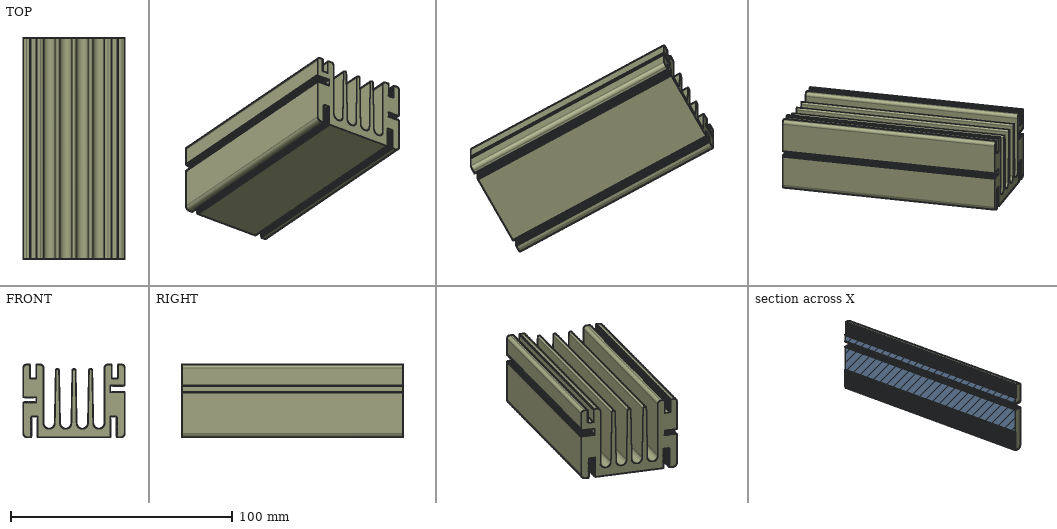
import cadquery as cq
import math

WIDTH = 46.0
LENGTH = 100.0
HEIGHT = 33.0
HALF_WIDTH = WIDTH / 2
TOP_CORNER_RADIUS = 1.5
BOTTOM_CORNER_RADIUS = 2.0

FIN_COUNT = 3
FIN_PITCH = 7.5
FIN_TOP = 31.0
FIN_TIP_WIDTH = 1.6
FIN_BASE_WIDTH = 2.5
FIN_TIP_RADIUS = FIN_TIP_WIDTH / 2
CHANNEL_FLOOR = 4.0
CHANNEL_RADIUS = (FIN_PITCH - FIN_BASE_WIDTH) / 2
CHANNEL_SPRING = CHANNEL_FLOOR + CHANNEL_RADIUS
CHANNEL_COUNT = FIN_COUNT + 1
CHANNEL_HALF_WIDTH = (CHANNEL_COUNT * FIN_PITCH - FIN_BASE_WIDTH) / 2

TOOTH_HEIGHT = 0.3
TOOTH_FLAT_SHARE = 0.25
FINE_PITCH = 0.82
COARSE_PITCH = 1.0
FLOOR_CHAMFER = 0.4
MOUTH_CHAMFER = 0.25

TOP_SLOT_CENTER = 18.55
TOP_SLOT_WIDTH = 2.9
TOP_SLOT_DEPTH = 6.3
TOP_FIRST_TIP = 0.5
TOP_TIP_COUNT = 7

BOTTOM_SLOT_CENTER = 17.9
BOTTOM_SLOT_WIDTH = 3.0
BOTTOM_SLOT_DEPTH = 9.4
BOTTOM_OUTER_FIRST_TIP = 0.97
BOTTOM_INNER_FIRST_TIP = BOTTOM_OUTER_FIRST_TIP - FINE_PITCH / 2
BOTTOM_TIP_COUNT = 10

LEFT_SLOT_CENTER = 17.0
LEFT_SLOT_WIDTH = 2.3
LEFT_SLOT_DEPTH = 5.9
LEFT_LOWER_FIRST_TIP = 0.8
LEFT_UPPER_FIRST_TIP = LEFT_LOWER_FIRST_TIP + COARSE_PITCH / 2
LEFT_LOWER_TIP_COUNT = 5
LEFT_UPPER_TIP_COUNT = 4

RIGHT_SLOT_CENTER = 21.95
RIGHT_SLOT_WIDTH = 3.0
RIGHT_SLOT_DEPTH = 6.5
RIGHT_LOWER_FIRST_TIP = 0.58
RIGHT_UPPER_FIRST_TIP = RIGHT_LOWER_FIRST_TIP + FINE_PITCH / 2
RIGHT_LOWER_TIP_COUNT = 7
RIGHT_UPPER_TIP_COUNT = 6


def extrude(sketch):
    """Extrude an XZ sketch over the full length, centred on Y = 0."""
    return sketch.extrude(LENGTH).translate((0, LENGTH / 2, 0))


def body():
    """Solid bar with rounded long edges."""
    bar = cq.Workplane("XY").box(WIDTH, LENGTH, HEIGHT, centered=(True, True, False))
    bar = bar.edges("|Y and >Z").fillet(TOP_CORNER_RADIUS)
    return bar.edges("|Y and <Z").fillet(BOTTOM_CORNER_RADIUS)


def fin_space():
    """Well that holds the fins, with rounded shoulders at its mouth and scalloped channels below."""
    radius = TOP_CORNER_RADIUS
    edge = CHANNEL_HALF_WIDTH
    well = extrude(
        cq.Workplane("XZ")
        .moveTo(-edge, CHANNEL_SPRING)
        .lineTo(-edge, HEIGHT - radius)
        .radiusArc((-edge - radius, HEIGHT), -radius)
        .lineTo(edge + radius, HEIGHT)
        .radiusArc((edge, HEIGHT - radius), -radius)
        .lineTo(edge, CHANNEL_SPRING)
        .close()
    )
    for index in range(CHANNEL_COUNT):
        center = (index - (CHANNEL_COUNT - 1) / 2) * FIN_PITCH
        scallop = cq.Workplane("XZ").center(center, CHANNEL_SPRING).circle(CHANNEL_RADIUS)
        well = well.union(extrude(scallop))
    for index in range(FIN_COUNT):
        well = well.cut(fin((index - (FIN_COUNT - 1) / 2) * FIN_PITCH))
    return well


def fin(center):
    """One tapered fin with a fully rounded tip, standing on the ridge between two channels."""
    base = FIN_BASE_WIDTH / 2
    shoulder = FIN_TOP - FIN_TIP_RADIUS
    return extrude(
        cq.Workplane("XZ")
        .moveTo(center - base, CHANNEL_SPRING)
        .lineTo(center - FIN_TIP_RADIUS, shoulder)
        .threePointArc((center, FIN_TOP), (center + FIN_TIP_RADIUS, shoulder))
        .lineTo(center + base, CHANNEL_SPRING)
        .close()
    )


def chamfered_mouth(offset):
    """Points of the chamfer where a slot wall meets the outside of the bar."""
    side = math.copysign(1, offset)
    return [(0, offset + side * MOUTH_CHAMFER), (MOUTH_CHAMFER, offset)]


def smooth_wall(offset, depth):
    """Points of a plain slot wall, from mouth to floor."""
    return chamfered_mouth(offset) + [(depth, offset)]


def toothed_wall(offset, depth, first_tip, tip_count, pitch):
    """Points of a wall with flat-topped teeth and a chamfered mouth, from mouth to floor."""
    return chamfered_mouth(offset) + teeth(offset, first_tip, tip_count, pitch) + [(depth, offset)]


def outer_wall(offset, depth, first_tip, tip_count):
    """Points of a fine-toothed wall with a square mouth and a chamfer at the floor."""
    side = math.copysign(1, offset)
    floor = [(depth - FLOOR_CHAMFER, offset), (depth, offset - side * FLOOR_CHAMFER)]
    return [(0, offset)] + teeth(offset, first_tip, tip_count, FINE_PITCH) + floor


def teeth(offset, first_tip, tip_count, pitch):
    """Points of a row of flat-topped teeth standing on the slot wall at `offset`."""
    crest = offset - math.copysign(TOOTH_HEIGHT, offset)
    half_crest = TOOTH_FLAT_SHARE * pitch / 2
    half_foot = pitch / 2 - half_crest
    points = []
    for index in range(tip_count):
        tip = first_tip + index * pitch
        points += [
            (tip - half_foot, offset),
            (tip - half_crest, crest),
            (tip + half_crest, crest),
            (tip + half_foot, offset),
        ]
    return points


def slot(mouth, inward, first_wall, second_wall):
    """Cutter for a slot whose walls are (depth, sideways) points, cut from the mouth along `inward`.

    Sideways is +X for vertical slots and +Z for horizontal slots.
    """
    x, z = mouth
    direction_x, direction_z = inward
    points = []
    for deep, aside in first_wall + second_wall[::-1]:
        point_x = x + direction_x * deep + abs(direction_z) * aside
        point_z = z + direction_z * deep + abs(direction_x) * aside
        points.append((point_x, point_z))
    return extrude(cq.Workplane("XZ").polyline(points).close())


def top_left_slot():
    """Slot in the left wall's top face, serrated on its outer side only."""
    half = TOP_SLOT_WIDTH / 2
    outer = outer_wall(-half, TOP_SLOT_DEPTH, TOP_FIRST_TIP, TOP_TIP_COUNT)
    inner = smooth_wall(half, TOP_SLOT_DEPTH)
    return slot((-TOP_SLOT_CENTER, HEIGHT), (0, -1), outer, inner)


def bottom_left_slot():
    """Slot in the bottom face with staggered serrations on both sides."""
    half = BOTTOM_SLOT_WIDTH / 2
    depth = BOTTOM_SLOT_DEPTH
    outer = outer_wall(-half, depth, BOTTOM_OUTER_FIRST_TIP, BOTTOM_TIP_COUNT)
    inner = toothed_wall(half, depth, BOTTOM_INNER_FIRST_TIP, BOTTOM_TIP_COUNT, FINE_PITCH)
    return slot((-BOTTOM_SLOT_CENTER, 0), (0, 1), outer, inner)


def left_slot():
    """Narrow slot in the left face with coarse staggered serrations."""
    half = LEFT_SLOT_WIDTH / 2
    depth = LEFT_SLOT_DEPTH
    lower = toothed_wall(-half, depth, LEFT_LOWER_FIRST_TIP, LEFT_LOWER_TIP_COUNT, COARSE_PITCH)
    upper = toothed_wall(half, depth, LEFT_UPPER_FIRST_TIP, LEFT_UPPER_TIP_COUNT, COARSE_PITCH)
    return slot((-HALF_WIDTH, LEFT_SLOT_CENTER), (1, 0), lower, upper)


def right_slot():
    """Wider slot in the right face with fine staggered serrations."""
    half = RIGHT_SLOT_WIDTH / 2
    depth = RIGHT_SLOT_DEPTH
    lower = toothed_wall(-half, depth, RIGHT_LOWER_FIRST_TIP, RIGHT_LOWER_TIP_COUNT, FINE_PITCH)
    upper = toothed_wall(half, depth, RIGHT_UPPER_FIRST_TIP, RIGHT_UPPER_TIP_COUNT, FINE_PITCH)
    return slot((HALF_WIDTH, RIGHT_SLOT_CENTER), (-1, 0), lower, upper)


result = body().cut(fin_space())
for vertical_slot in (top_left_slot(), bottom_left_slot()):
    result = result.cut(vertical_slot).cut(vertical_slot.mirror("YZ"))
result = result.cut(left_slot()).cut(right_slot())